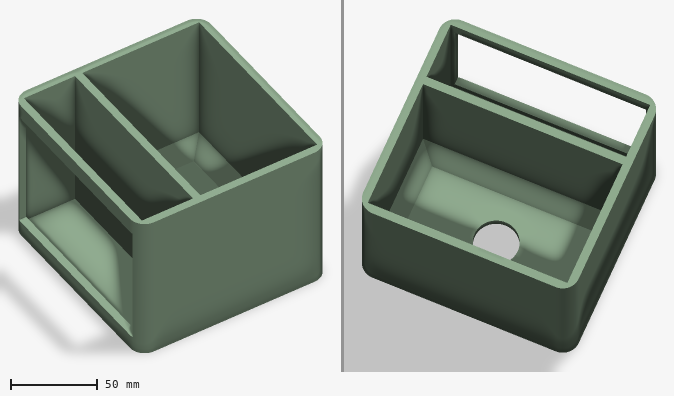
import cadquery as cq

WIDTH = 135.0
DEPTH = 130.0
HEIGHT = 100.0
CORNER_RADIUS = 10.0
WALL = 5.0

FRONT_COMPARTMENT_DEPTH = 35.0
FRONT_FLOOR = 5.0
WINDOW_WIDTH = 120.0
WINDOW_MARGIN = 10.0

REAR_FLOOR = 5.0
SLOPE_INSET = 10.0
SLOPE_HEIGHT = 10.0
DRAIN_DIAMETER = 27.0
DRAIN_Y = 18.5

inner_width = WIDTH - 2 * WALL
front_inner_y = -DEPTH / 2 + WALL
divider_front_y = front_inner_y + FRONT_COMPARTMENT_DEPTH
rear_front_y = divider_front_y + WALL
rear_back_y = DEPTH / 2 - WALL
rear_depth = rear_back_y - rear_front_y
rear_center_y = (rear_front_y + rear_back_y) / 2


def centered_box(width, depth, height, center_y, bottom_z):
    """Box centred on X = 0 with its bottom face at bottom_z."""
    return (
        cq.Workplane("XY", origin=(0, center_y, bottom_z))
        .box(width, depth, height, centered=(True, True, False))
    )


def outer_body():
    """Solid block with rounded vertical edges."""
    return centered_box(WIDTH, DEPTH, HEIGHT, 0, 0).edges("|Z").fillet(CORNER_RADIUS)


def rear_compartment():
    """Open-topped rear space that narrows towards its floor."""
    slope_top = REAR_FLOOR + SLOPE_HEIGHT
    straight = centered_box(inner_width, rear_depth, HEIGHT - slope_top, rear_center_y, slope_top)
    sloped = (
        cq.Workplane("XY", origin=(0, rear_center_y, REAR_FLOOR))
        .rect(inner_width - 2 * SLOPE_INSET, rear_depth - 2 * SLOPE_INSET)
        .workplane(offset=SLOPE_HEIGHT)
        .rect(inner_width, rear_depth)
        .loft(ruled=True)
    )
    return straight.union(sloped)


def drain_hole():
    """Round hole through the floor of the rear compartment."""
    return (
        cq.Workplane("XY", origin=(0, DRAIN_Y, 0))
        .circle(DRAIN_DIAMETER / 2)
        .extrude(HEIGHT)
    )


def front_compartment():
    """Open-topped front space with a flat floor."""
    center_y = (front_inner_y + divider_front_y) / 2
    return centered_box(inner_width, FRONT_COMPARTMENT_DEPTH, HEIGHT - FRONT_FLOOR, center_y, FRONT_FLOOR)


def front_window():
    """Rectangular opening through the front wall."""
    center_y = -DEPTH / 2 + WALL / 2
    return centered_box(WINDOW_WIDTH, WALL, HEIGHT - 2 * WINDOW_MARGIN, center_y, WINDOW_MARGIN)


result = (
    outer_body()
    .cut(rear_compartment())
    .cut(drain_hole())
    .cut(front_compartment())
    .cut(front_window())
)